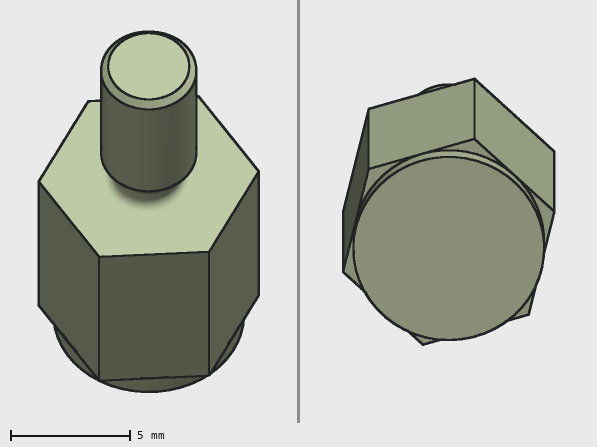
import cadquery as cq
import math

total_height = 18.0
body_top = 10.0
hexagon_sides = 6
across_flats = 8.0
across_corners = across_flats / math.cos(math.pi / hexagon_sides)

foot_diameter = across_flats
foot_height = 1.0

stud_diameter = 4.0
tip_chamfer = 0.3

neck_diameter = 2.9
neck_fillet = 0.4
undercut_length = 1.75
runout_angle = math.radians(30)


def make_foot():
    return cq.Workplane("XY").circle(foot_diameter / 2).extrude(foot_height)


def make_hexagon():
    """Hexagonal prism with two corners on the X axis."""
    return (
        cq.Workplane("XY")
        .workplane(offset=foot_height)
        .polygon(hexagon_sides, across_corners)
        .extrude(body_top - foot_height)
    )


def make_stud():
    """Stud with its undercut, revolved about Z from a half profile."""
    stud_radius = stud_diameter / 2
    neck_radius = neck_diameter / 2
    fillet_center_radius = neck_radius + neck_fillet

    cone_start_radius = fillet_center_radius - neck_fillet * math.cos(runout_angle)
    cone_top = body_top + undercut_length
    cone_start = cone_top - (stud_radius - cone_start_radius) / math.tan(runout_angle)
    neck_top = cone_start - neck_fillet * math.sin(runout_angle)
    neck_bottom = body_top + neck_fillet

    lower_mid_angle = math.radians(45)
    lower_mid = (
        fillet_center_radius - neck_fillet * math.cos(lower_mid_angle),
        neck_bottom - neck_fillet * math.sin(lower_mid_angle),
    )
    upper_mid = (
        fillet_center_radius - neck_fillet * math.cos(runout_angle / 2),
        neck_top + neck_fillet * math.sin(runout_angle / 2),
    )

    profile = (
        cq.Workplane("XZ")
        .moveTo(0, body_top)
        .lineTo(fillet_center_radius, body_top)
        .threePointArc(lower_mid, (neck_radius, neck_bottom))
        .lineTo(neck_radius, neck_top)
        .threePointArc(upper_mid, (cone_start_radius, cone_start))
        .lineTo(stud_radius, cone_top)
        .lineTo(stud_radius, total_height - tip_chamfer)
        .lineTo(stud_radius - tip_chamfer, total_height)
        .lineTo(0, total_height)
        .close()
    )
    return profile.revolve(360, (0, 0, 0), (0, 1, 0))


result = make_foot().union(make_hexagon()).union(make_stud())